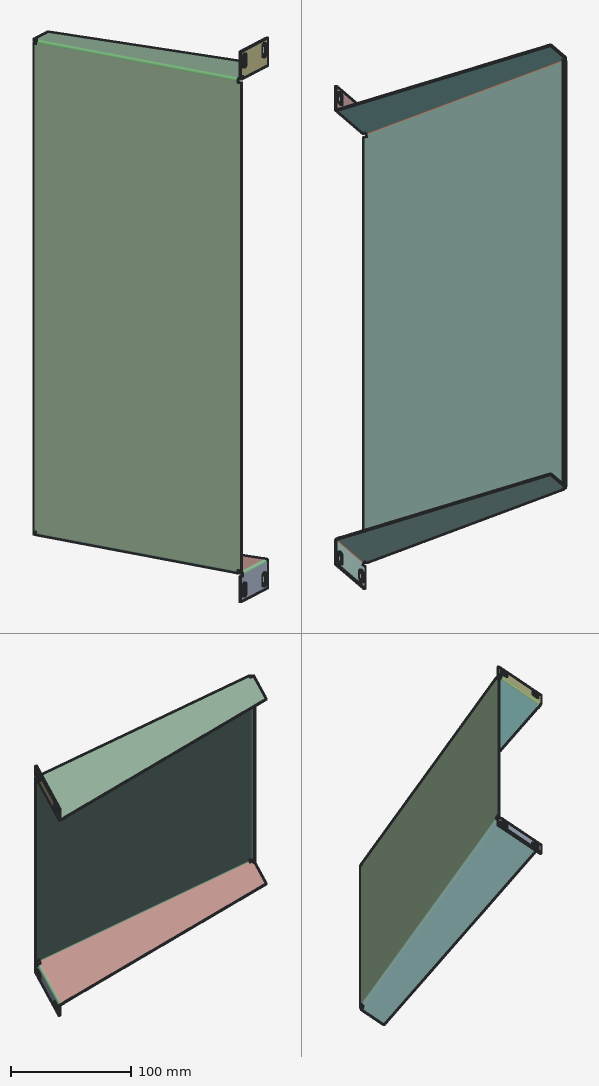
import cadquery as cq

width = 203.0
depth = 44.0
height = 482.5

sheet = 1.5
inner_radius = 1.0
outer_radius = inner_radius + sheet
bend_overlap = 2 * outer_radius
bend_relief = 3.5

panel_height = 435.0
flange_end_depth = 25.5
lip_depth = 5.5

slot_width = 6.5
slot_length = 12.0
slot_spacing = 32.0
slot_end_distance = 9.0

left = -width / 2
right = width / 2
front = -depth / 2
back = depth / 2
panel_top = panel_height / 2
ear_top = height / 2
flange_underside = panel_top - sheet


def block(x_range, y_range, z_range):
    """Box between the given limits along X, Y and Z."""
    spans = [end - start for start, end in (x_range, y_range, z_range)]
    return cq.Workplane("XY").box(*spans, centered=False).translate((x_range[0], y_range[0], z_range[0]))


def bent_sheet(plane, first_leg, second_leg, length):
    """Extrude an L-shaped sheet whose outer faces lie on the plane's two axes."""
    return (
        cq.Workplane(plane)
        .moveTo(outer_radius, 0)
        .lineTo(first_leg, 0)
        .lineTo(first_leg, sheet)
        .lineTo(outer_radius, sheet)
        .radiusArc((sheet, outer_radius), inner_radius)
        .lineTo(sheet, second_leg)
        .lineTo(0, second_leg)
        .lineTo(0, outer_radius)
        .radiusArc((outer_radius, 0), -outer_radius)
        .close()
        .extrude(length)
    )


def upper_panel_and_flange():
    """Upper half of the panel with its flange, tapered towards the lip end."""
    corner = cq.Plane(origin=(left, front, panel_top), xDir=(0, 1, 0), normal=(-1, 0, 0))
    sheet_body = bent_sheet(corner, depth, panel_top, -width)
    ear_bend_start = right - outer_radius
    taper = (
        cq.Workplane("XY")
        .polyline([(left, front + flange_end_depth), (right - sheet, back), (left, back)])
        .close()
        .extrude(height)
    )
    lip_bend_space = block((left, left + outer_radius), (front, front + outer_radius), (0, flange_underside))
    ear_bend_space = block((ear_bend_start, right), (front + bend_relief, back), (flange_underside, panel_top))
    return sheet_body.cut(taper).cut(lip_bend_space).cut(ear_bend_space)


def upper_lip():
    """Upper half of the lip, bent back along the left edge of the panel."""
    corner = cq.Plane(origin=(left, front, 0), xDir=(1, 0, 0), normal=(0, 0, 1))
    return bent_sheet(corner, bend_overlap, lip_depth, panel_top - bend_relief)


def upper_ear():
    """Slotted mounting ear, bent up from the right end of the flange."""
    corner = cq.Plane(
        origin=(right, front + bend_relief, flange_underside), xDir=(-1, 0, 0), normal=(0, 1, 0)
    )
    bend = bent_sheet(corner, bend_overlap, ear_top - flange_underside, depth - bend_relief)
    blade = block((right - sheet, right), (front, back), (flange_underside + outer_radius, ear_top))
    slots = (
        cq.Workplane("YZ", origin=(right - sheet, 0, ear_top - slot_end_distance))
        .rarray(slot_spacing, 5, 2, 1)
        .slot2D(slot_length, slot_width, 90)
        .extrude(sheet)
    )
    return bend.union(blade).cut(slots)


def upper_reliefs():
    """Corner openings that keep the meeting bends apart at the lip and at the ear."""
    relief_bottom = panel_top - bend_relief
    lip_relief = block((left, left + bend_relief), (front, front + outer_radius), (relief_bottom, panel_top))
    ear_relief = block(
        (right - bend_relief, right),
        (front, front + bend_relief),
        (relief_bottom, flange_underside + bend_relief),
    )
    return lip_relief.union(ear_relief)


upper_half = upper_panel_and_flange().union(upper_lip()).union(upper_ear()).cut(upper_reliefs())
result = upper_half.union(upper_half.mirror("XY"))